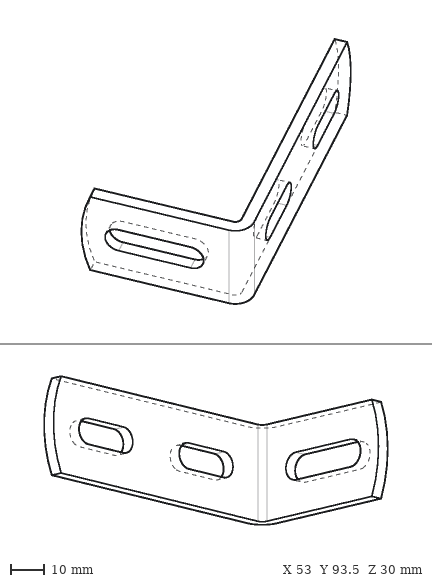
import cadquery as cq
import math

width = 30.0
thickness = 4.0
short_leg = 53.0
long_leg = 93.5
inner_bend_radius = 2.0
outer_bend_radius = inner_bend_radius + thickness

short_end_radius = 41.4
long_end_radius = 35.8

short_slot_length = 31.4
short_slot_width = 8.5
short_slot_distance = 29.7
long_slot_length = 23.0
long_slot_width = 8.0
long_slot_distances = (28.0, 71.0)


def bent_strip():
    """L-shaped strip with its outer corner at the origin and its legs along -X and +Y."""
    profile = (
        cq.Workplane("XY")
        .moveTo(0, 0)
        .lineTo(0, long_leg)
        .lineTo(-thickness, long_leg)
        .lineTo(-thickness, thickness)
        .lineTo(-short_leg, thickness)
        .lineTo(-short_leg, 0)
        .close()
    )
    strip = profile.extrude(width / 2, both=True)
    outer_corner = (0, 0, 0)
    inner_corner = (-thickness, thickness, 0)
    strip = strip.edges(cq.NearestToPointSelector(outer_corner)).fillet(outer_bend_radius)
    return strip.edges(cq.NearestToPointSelector(inner_corner)).fillet(inner_bend_radius)


def crowned_outline(plane, direction, length, end_radius):
    """Outline of one leg, from the outer face of the other leg to its crowned end."""
    crown_height = end_radius - math.sqrt(end_radius**2 - (width / 2) ** 2)
    tip = direction * length
    shoulder = direction * (length - crown_height)
    return (
        cq.Workplane(plane)
        .moveTo(0, -width / 2)
        .lineTo(shoulder, -width / 2)
        .threePointArc((tip, 0), (shoulder, width / 2))
        .lineTo(0, width / 2)
        .close()
    )


def slot_cutter(plane, position, length, slot_width):
    """Round-ended cutter through one leg, running along that leg."""
    return cq.Workplane(plane).center(position, 0).slot2D(length, slot_width).extrude(thickness, both=True)


short_crown = crowned_outline("XZ", -1, short_leg, short_end_radius).extrude(-long_leg)
long_crown = crowned_outline("YZ", 1, long_leg, long_end_radius).extrude(-short_leg)
result = bent_strip().intersect(short_crown).intersect(long_crown)

result = result.cut(slot_cutter("XZ", -short_slot_distance, short_slot_length, short_slot_width))
for distance in long_slot_distances:
    result = result.cut(slot_cutter("YZ", distance, long_slot_length, long_slot_width))